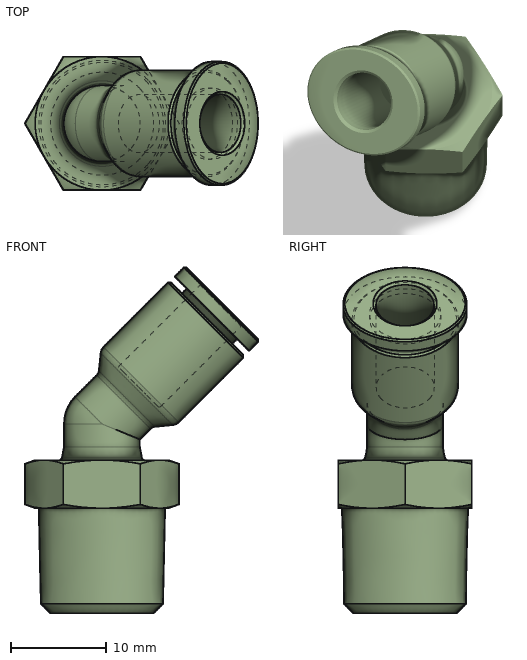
import cadquery as cq
import math

lead_height = 1.0
lead_radius = 5.4
thread_bottom_radius = 6.43
thread_top_radius = 6.65
hex_bottom = 11.05
hex_height = 5.05
hex_top = hex_bottom + hex_height
hex_across_flats = 14.0
hex_across_corners = hex_across_flats / math.cos(math.radians(30))
hex_chamfer_angle = 20
collar_base_radius = 4.25
collar_base_fillet = 0.3
collar_height = 1.38
collar_top = hex_top + collar_height
pipe_radius = 4.0

bend_height = 19.9
arm_angle = 45
shoulder_start = 3.5
body_start = 5.45
body_length = 10.15
body_end = body_start + body_length
body_radius = 5.6
body_edge_chamfer = 0.2
shoulder_inner_fillet = 0.73
shoulder_outer_fillet = 1.0
neck_radius = 3.75
neck_length = 0.73
flange_start = body_end + neck_length
flange_thickness = 1.52
flange_end = flange_start + flange_thickness
flange_half_width = 6.5
flange_half_height = 5.5
flange_edge_chamfer = 0.18
bore_radius = 3.05
bore_edge_chamfer = 0.3
bore_bottom = body_start


def revolved(points):
    """Solid of revolution about Z from (radius, height) points, closed along the axis."""
    closed = [(0, points[0][1])] + points + [(0, points[-1][1])]
    return cq.Workplane("XZ").polyline(closed).close().revolve(360, (0, 0), (0, 1))


def make_thread():
    """Tapered thread envelope with a lead-in cone at its lower end."""
    return revolved([
        (lead_radius, 0),
        (thread_bottom_radius, lead_height),
        (thread_top_radius, hex_bottom),
    ])


def make_hex():
    """Hexagon with corners on the X axis, both ends turned off by a shallow cone."""
    flat_radius = hex_across_flats / 2
    corner_radius = hex_across_corners / 2
    corner_drop = (corner_radius - flat_radius) * math.tan(math.radians(hex_chamfer_angle))
    prism = (
        cq.Workplane("XY")
        .workplane(offset=hex_bottom)
        .polygon(6, hex_across_corners)
        .extrude(hex_height)
    )
    envelope = revolved([
        (flat_radius, hex_bottom),
        (corner_radius, hex_bottom + corner_drop),
        (corner_radius, hex_top - corner_drop),
        (flat_radius, hex_top),
    ])
    return prism.intersect(envelope)


def make_pipe():
    """Stem pipe on a tapered collar, ending at the bend centre."""
    return revolved([
        (collar_base_radius, hex_top),
        (pipe_radius, collar_top),
        (pipe_radius, bend_height),
    ])


def make_arm():
    """Arm built along Z from the bend centre, then tilted and lifted into place."""
    body = revolved([
        (pipe_radius, 0),
        (pipe_radius, shoulder_start),
        (body_radius, body_start),
        (body_radius, body_end),
    ])
    body = body.faces(">Z").chamfer(body_edge_chamfer)
    outer_corner = body.edges(cq.selectors.RadiusNthSelector(-1)).edges("<Z")
    body = outer_corner.fillet(shoulder_outer_fillet)
    inner_corner = body.edges(cq.selectors.RadiusNthSelector(0)).edges(">Z")
    body = inner_corner.fillet(shoulder_inner_fillet)
    neck = revolved([(neck_radius, body_end), (neck_radius, flange_start)])
    arm = body.union(neck).union(make_flange())
    return arm.cut(make_bore()).rotate((0, 0, 0), (0, 1, 0), arm_angle).translate((0, 0, bend_height))


def make_flange():
    """Oval release flange, widest along Y, with its outer rim chamfered."""
    plate = (
        cq.Workplane("XY")
        .workplane(offset=flange_start)
        .ellipse(flange_half_height, flange_half_width)
        .extrude(flange_thickness)
    )
    return plate.faces(">Z").chamfer(flange_edge_chamfer)


def make_bore():
    """Blind tube socket with a chamfered mouth."""
    return revolved([
        (bore_radius, bore_bottom),
        (bore_radius, flange_end - bore_edge_chamfer),
        (bore_radius + bore_edge_chamfer, flange_end),
    ])


def make_stem():
    """Thread, hexagon and pipe joined, with a fillet where the collar meets the hexagon."""
    stem = make_thread().union(make_hex()).union(make_pipe())
    hex_top_face = stem.faces(cq.selectors.NearestToPointSelector((0, 0, hex_top)))
    collar_corner = hex_top_face.edges("%CIRCLE").edges(cq.selectors.RadiusNthSelector(0))
    return collar_corner.fillet(collar_base_fillet)


bend = cq.Workplane("XY").sphere(pipe_radius).translate((0, 0, bend_height))

result = make_stem().union(bend).union(make_arm())